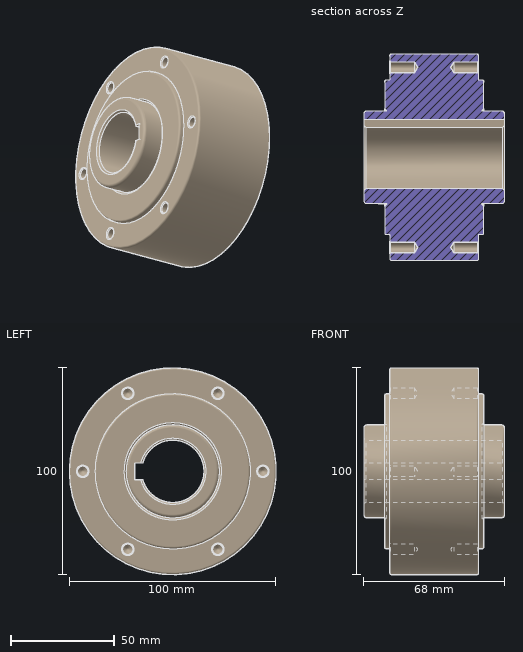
import cadquery as cq
import math

RING_DIAMETER = 100.0
RING_WIDTH = 43.0
COVER_DIAMETER = 75.0
COVER_WIDTH = 48.0
HUB_DIAMETER = 45.0
HUB_LENGTH = 68.0

RING_FILLET = 1.0
COVER_FILLET = 1.0
HUB_FILLET = 1.5

COVER_CHAMFER = 1.0

BORE_DIAMETER = 30.0
BORE_CHAMFER = 1.0
KEYWAY_WIDTH = 8.0
KEYWAY_HEIGHT = 18.3

HOLE_COUNT = 6
HOLE_CIRCLE_DIAMETER = 87.0
HOLE_DIAMETER = 5.0
HOLE_MOUTH_DIAMETER = 6.0
HOLE_DEPTH = 12.0
HOLE_TIP_ANGLE = 118.0


def cylinder(start_x, radius, length):
    """Cylinder along +X from start_x."""
    return cq.Workplane("YZ", origin=(start_x, 0, 0)).circle(radius).extrude(length)


def step(diameter, width, fillet):
    """Solid disc centred on the origin, axis along X, with both rims rounded."""
    disc = cylinder(-width / 2, diameter / 2, width)
    return disc.edges("%CIRCLE").fillet(fillet)


def cone(start_x, start_radius, end_radius, length):
    """Truncated cone along +X from start_x."""
    return cq.Workplane(cq.Solid.makeCone(
        start_radius, end_radius, length, cq.Vector(start_x, 0, 0), cq.Vector(1, 0, 0)))


def hub_groove():
    """Chamfer ring cut into the -X cover face, its inner wall being the hub surface."""
    hub_radius = HUB_DIAMETER / 2
    face_x = -COVER_WIDTH / 2
    outer = cone(face_x, hub_radius + COVER_CHAMFER, hub_radius, COVER_CHAMFER)
    core = cylinder(face_x, hub_radius, COVER_CHAMFER)
    return outer.cut(core)


def bore_chamfer():
    """Chamfer at the -X mouth of the bore."""
    bore_radius = BORE_DIAMETER / 2
    return cone(-HUB_LENGTH / 2, bore_radius + BORE_CHAMFER, bore_radius, BORE_CHAMFER)


def tapped_hole():
    """Blind drilled hole on the X axis with a chamfered mouth and a conical bottom."""
    face_x = -RING_WIDTH / 2
    hole_radius = HOLE_DIAMETER / 2
    mouth_radius = HOLE_MOUTH_DIAMETER / 2
    mouth_depth = mouth_radius - hole_radius
    tip_length = hole_radius / math.tan(math.radians(HOLE_TIP_ANGLE / 2))
    return (
        cq.Workplane("XY")
        .moveTo(face_x, 0)
        .lineTo(face_x, mouth_radius)
        .lineTo(face_x + mouth_depth, hole_radius)
        .lineTo(face_x + HOLE_DEPTH, hole_radius)
        .lineTo(face_x + HOLE_DEPTH + tip_length, 0)
        .close()
        .revolve(360, (0, 0, 0), (1, 0, 0))
    )


def keyway():
    """Slot along the whole bore, on the +Y side."""
    return cq.Workplane("XY").box(
        HUB_LENGTH, KEYWAY_HEIGHT, KEYWAY_WIDTH, centered=(True, False, True))


body = step(RING_DIAMETER, RING_WIDTH, RING_FILLET)
body = body.union(step(COVER_DIAMETER, COVER_WIDTH, COVER_FILLET))
body = body.union(step(HUB_DIAMETER, HUB_LENGTH, HUB_FILLET))

bore = cylinder(-HUB_LENGTH / 2, BORE_DIAMETER / 2, HUB_LENGTH)
body = body.cut(bore).cut(keyway())

side_cuts = [hub_groove(), bore_chamfer()]
hole = tapped_hole().translate((0, HOLE_CIRCLE_DIAMETER / 2, 0))
for i in range(HOLE_COUNT):
    side_cuts.append(hole.rotate((0, 0, 0), (1, 0, 0), i * 360 / HOLE_COUNT))

for cut in side_cuts:
    body = body.cut(cut).cut(cut.mirror("YZ"))

result = body